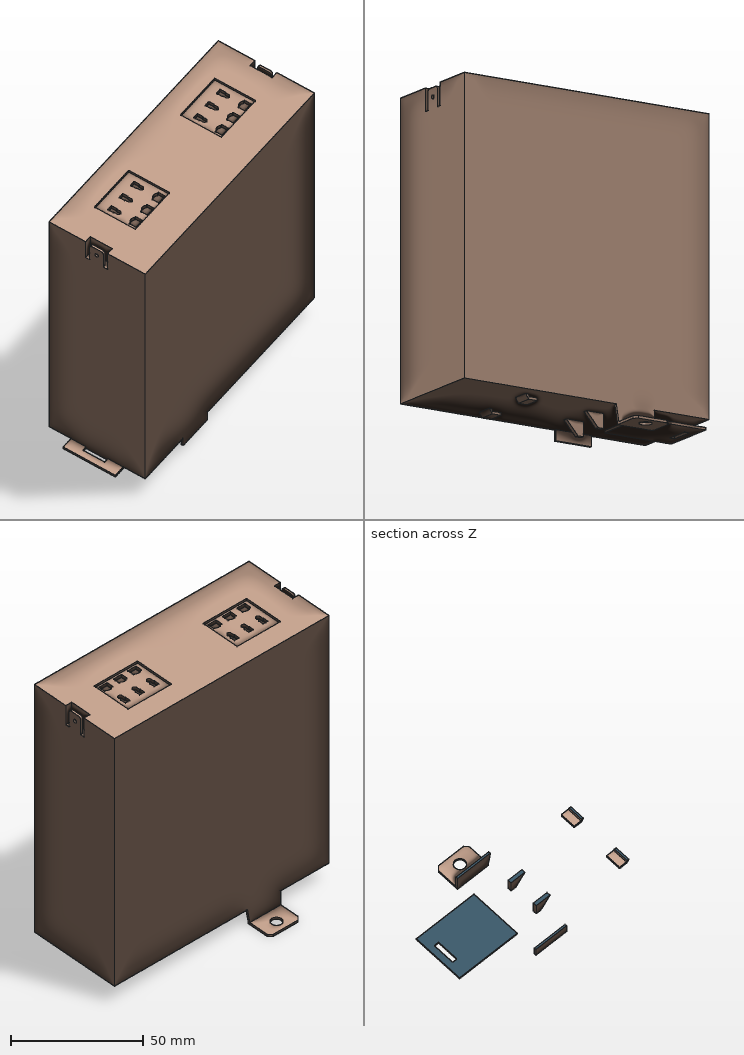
import cadquery as cq


width = 44.6
depth = 110.0
overall_height = 127.4
height = 119.6
sheet = 1.0

latch_x = 22.0
latch_width = 10.2
latch_drop = 9.2
latch_depth = 3.0
tongue_width = 6.4
tongue_gap = 0.9
tongue_corner = 1.1
tongue_hole_diameter = 1.5
tongue_hole_drop = 4.6

block_left = 9.7
block_width = 19.0
block_length = 22.3
block_edge_margin = 15.9
block_recess = 1.0
pole_count = 3
pole_pitch = 7.4
socket_depth = 1.5
release_left = 14.0
release_length = 2.5
release_width = 2.4
release_nose_width = 1.9
release_nose_length = 2.5
wire_right = 27.8
wire_length = 3.2
wire_width = 4.2
wire_nose_width = 3.0
wire_nose_length = 0.6

bracket_front = 24.7
bracket_length = 15.9
bracket_root_flare = 1.1
bracket_drop = overall_height - height
tab_reach = 11.2
tab_corner = 1.5
tab_hole_diameter = 5.0
tab_hole_offset = 6.2
side_flange_drop = 4.3

slide_left = 10.2
slide_width = 24.2
slide_protrusion = 5.1
slot_left = 17.2
slot_width = 10.0
slot_protrusion = 2.0
fin_lefts = (14.4, 28.4)
fin_thickness = 1.8
fin_drop = 5.9
fin_root_y = 45.8
fin_tip_y = 40.6
fin_front_y = 38.2
hook_lefts = (6.1, 31.3)
hook_width = 7.1
hook_tip_y = 73.4
hook_root_y = 78.6
hook_bend = 1.4
hook_drop = 2 * sheet


def box(x, y, z, size_x, size_y, size_z):
    """Box placed by its lowest corner."""
    return cq.Workplane("XY").box(size_x, size_y, size_z, centered=False).translate((x, y, z))


def extrude_along_x(points, x, thickness):
    """Extrude an outline of (y, z) points from x in the +X direction."""
    return cq.Workplane("YZ").polyline(points).close().extrude(thickness).translate((x, 0, 0))


def latch_cut():
    """Space around the front latch: a notch with a standing tongue left in it."""
    notch = box(latch_x - latch_width / 2, 0, height - latch_drop, latch_width, latch_depth, latch_drop)
    tongue = (
        box(latch_x - tongue_width / 2, 0, height - latch_drop, tongue_width, sheet, latch_drop - tongue_gap)
        .edges("|Y and >Z")
        .fillet(tongue_corner)
    )
    hole = (
        cq.Workplane("XZ", origin=(latch_x, 0, height - tongue_hole_drop))
        .circle(tongue_hole_diameter / 2)
        .extrude(-sheet)
    )
    return notch.cut(tongue).union(hole)


def release_slot(y, floor):
    """Screwdriver slot: a rectangle with a narrower round-ended nose toward +X."""
    nose_start = release_left + release_length
    nose_end = nose_start + release_nose_length
    nose_half = release_nose_width / 2
    half = release_width / 2
    return (
        cq.Workplane("XY", origin=(0, y, floor))
        .moveTo(release_left, -half)
        .lineTo(nose_start, -half)
        .lineTo(nose_start, -nose_half)
        .lineTo(nose_end - nose_half, -nose_half)
        .threePointArc((nose_end, 0), (nose_end - nose_half, nose_half))
        .lineTo(nose_start, nose_half)
        .lineTo(nose_start, half)
        .lineTo(release_left, half)
        .close()
        .extrude(-socket_depth)
    )


def wire_entry(y, floor):
    """Wire opening: a rectangle with a shallow round bulge toward -X."""
    left = wire_right - wire_length
    half = wire_width / 2
    nose_half = wire_nose_width / 2
    return (
        cq.Workplane("XY", origin=(0, y, floor))
        .moveTo(wire_right, half)
        .lineTo(left, half)
        .lineTo(left, nose_half)
        .threePointArc((left - wire_nose_length, 0), (left, -nose_half))
        .lineTo(left, -half)
        .lineTo(wire_right, -half)
        .close()
        .extrude(-socket_depth)
    )


def terminal_cut(block_y):
    """Sunken terminal block, centred on block_y, with a slot and a wire entry per pole."""
    floor = height - block_recess
    cut = box(block_left, block_y - block_length / 2, floor, block_width, block_length, block_recess)
    for pole in range(pole_count):
        pole_y = block_y + (pole - (pole_count - 1) / 2) * pole_pitch
        cut = cut.union(release_slot(pole_y, floor)).union(wire_entry(pole_y, floor))
    return cut


def side_bracket():
    """Drop flange on the left side, bent outward into a mounting tab with a hole."""
    bracket_back = bracket_front + bracket_length
    flange = extrude_along_x(
        [
            (bracket_front, 0),
            (bracket_back + bracket_root_flare, 0),
            (bracket_back, sheet - bracket_drop),
            (bracket_back, -bracket_drop),
            (bracket_front, -bracket_drop),
        ],
        0,
        sheet,
    )
    tab = (
        box(-tab_reach, bracket_front, -bracket_drop, tab_reach + sheet, bracket_length, sheet)
        .edges("|Z and <X")
        .chamfer(tab_corner)
    )
    hole = (
        cq.Workplane("XY", origin=(-tab_hole_offset, bracket_front + bracket_length / 2, -bracket_drop))
        .circle(tab_hole_diameter / 2)
        .extrude(sheet)
    )
    return flange.union(tab).cut(hole)


def side_flange():
    """Short drop flange on the right side, opposite the bracket."""
    return box(width - sheet, bracket_front, -side_flange_drop, sheet, bracket_length, side_flange_drop)


def rail_slide():
    """Flat slide under the housing, reaching out past the front with a tool slot."""
    plate = box(slide_left, -slide_protrusion, -sheet, slide_width, slide_protrusion + bracket_front, sheet)
    slot = box(slot_left, -slot_protrusion, -sheet, slot_width, slot_protrusion, sheet)
    return plate.cut(slot)


def rail_fin(x):
    """Ramped fin that catches the lower edge of the rail."""
    outline = [(fin_front_y, 0), (fin_root_y, 0), (fin_tip_y, -fin_drop), (fin_front_y, -fin_drop)]
    return extrude_along_x(outline, x, fin_thickness)


def rail_hook(x):
    """Bent lip that holds the upper edge of the rail."""
    outline = [
        (hook_root_y, 0),
        (hook_root_y - hook_bend, -hook_drop),
        (hook_tip_y, -hook_drop),
        (hook_tip_y, -sheet),
        (hook_root_y - sheet - hook_bend / 2, -sheet),
        (hook_root_y - sheet, 0),
    ]
    return extrude_along_x(outline, x, hook_width)


result = box(0, 0, 0, width, depth, height)

front_latch = latch_cut()
rear_latch = front_latch.mirror("XZ").translate((0, depth, 0))
result = result.cut(front_latch).cut(rear_latch)

block_offset = block_edge_margin + block_length / 2
for block_y in (block_offset, depth - block_offset):
    result = result.cut(terminal_cut(block_y))

result = result.union(side_bracket()).union(side_flange()).union(rail_slide())
for x in fin_lefts:
    result = result.union(rail_fin(x))
for x in hook_lefts:
    result = result.union(rail_hook(x))